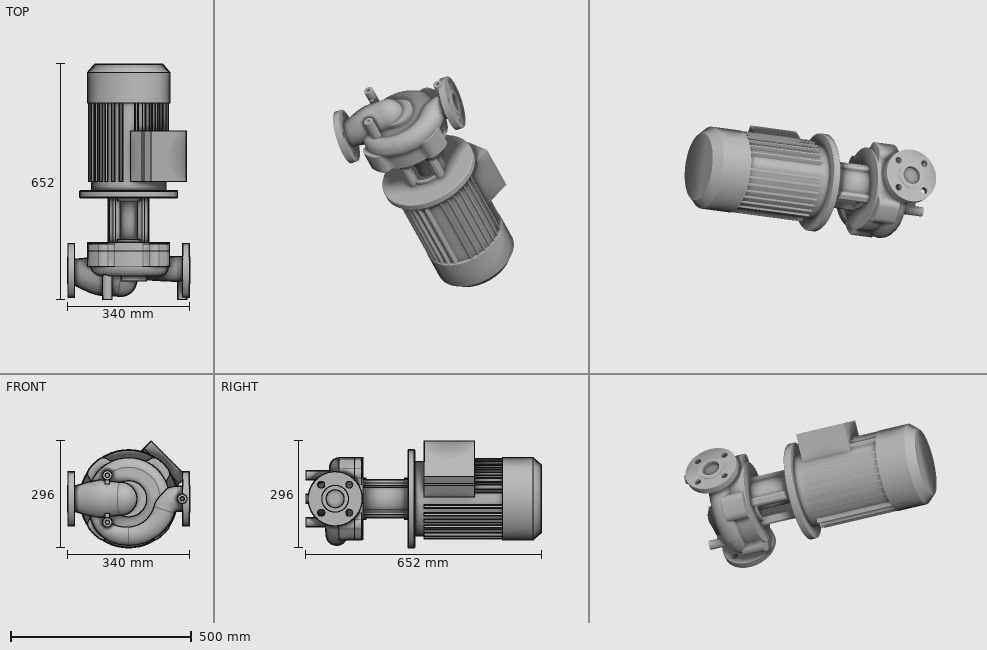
import cadquery as cq
import math


VOLUTE_FLOOR_Y = -15.5
HUB_Y = -29.5
BOSS_END_Y = -81.0
LOBE_START_Y = 11.0
COVER_START_Y = 53.0
LOBE_END_Y = 72.5
LANTERN_START_Y = 77.0
MOTOR_FLANGE_Y = 201.0
MOTOR_BODY_Y = 220.5
FIN_START_Y = 246.0
FAN_COVER_Y = 463.0
FAN_COVER_BEVEL_Y = 547.5
MOTOR_END_Y = 571.03

CASING_RADIUS = 113.6
LOBE_TIP_RADIUS = 137.5
LOBE_WIDTH = 73.0
LOBE_TIP_FILLET = 21.0
LOBE_ROOT_FILLET = 19.0
HUB_RADIUS = 50.0
VOLUTE_ROUND = LOBE_START_Y - VOLUTE_FLOOR_Y

PORT_FACE_X = 170.0
RAISED_FACE_RADIUS = 37.0
RAISED_FACE_HEIGHT = 2.0
PORT_FLANGE_RADIUS = 75.0
PORT_FLANGE_THICKNESS = 18.5
PORT_BORE_RADIUS = 25.0
PORT_BORE_DEPTH = 13.0
BOLT_CIRCLE_RADIUS = 55.0
BOLT_HOLE_RADIUS = 9.5
PORT_FLANGE_BACK_X = PORT_FACE_X - RAISED_FACE_HEIGHT - PORT_FLANGE_THICKNESS

SCROLL_Y = 4.0
SCROLL_RADIUS = 100.0
SCROLL_PIPE_RADIUS = 29.0
SCROLL_TAIL_RADIUS = 24.5
DISCHARGE_RADIUS = 35.0
DISCHARGE_BEND_X = 136.0

SUCTION_START = cq.Vector(-157.0, -2.0, 0)
SUCTION_DOME = cq.Vector(-23.0, -26.5, 0)
SUCTION_START_RADIUS = 33.5
SUCTION_START_FLARE = 0.25
SUCTION_BELLY = 95.0
SUCTION_BELLY_RADIUS = 51.5
SUCTION_DOME_RADIUS = 46.0

BOSS_RADIUS = 13.0
BOSS_HOLE_RADIUS = 6.0
BOSS_HOLE_DEPTH = 20.0
SUCTION_BOSS_X = -59.0
SUCTION_BOSS_Z = 65.0
DISCHARGE_BOSS_X = 148.5
BOSS_RIB_THICKNESS = 12.5
BOSS_RIB_END_Y = -58.0
BOSS_RIB_INNER_Z = 41.0

LANTERN_RADIUS = 57.0
LANTERN_BORE_RADIUS = 47.0
LANTERN_RING = 9.0
LANTERN_RIB_WIDTH = 23.3
LANTERN_RIB_TIP_RADIUS = 68.6
LANTERN_RIB_CHAMFER = 5.3
SHAFT_RADIUS = 24.5

MOTOR_FLANGE_RADIUS = 136.0
MOTOR_FLANGE_CHAMFER = 2.0
MOTOR_CORE_RADIUS = 103.5
FIN_TIP_RADIUS = 113.6
FIN_PITCH = 20.0
FINS_EACH_SIDE = 3
FIN_THICKNESS = 2.5
FAN_COVER_RADIUS = 114.6
FAN_COVER_END_RADIUS = 94.0

BOX_WIDTH = 138.6
BOX_END_Y = 386.0
BOX_BOTTOM = 70.0
GASKET_BOTTOM = 122.0
LID_BOTTOM = 128.5
LID_TOP = 157.0

QUADRANT_ANGLES = (45, 135, 225, 315)
EDGE_TOLERANCE = 0.01
Y_DIRECTION = cq.Vector(0, 1, 0)


def cylinder_y(radius, start, end, x=0.0, z=0.0):
    solid = cq.Solid.makeCylinder(radius, end - start, cq.Vector(x, start, z), Y_DIRECTION)
    return cq.Workplane(obj=solid)


def diagonal_bar(angle, width, inner, outer, start, end, offset=0.0):
    """Bar reaching from one distance to another off the Y axis, turned about that axis."""
    bar = cq.Workplane("XY").box(outer - inner, end - start, width, centered=(False, False, True))
    return bar.translate((inner, start, offset)).rotate((0, 0, 0), (0, 1, 0), -angle)


def lobed_prism(start, end):
    """Round casing section with four rounded bolting lobes on the diagonals."""
    prism = cylinder_y(CASING_RADIUS, start, end)
    tip_envelope = cylinder_y(LOBE_TIP_RADIUS, start, end)
    for angle in QUADRANT_ANGLES[:2]:
        bar = diagonal_bar(angle, LOBE_WIDTH, -LOBE_TIP_RADIUS, LOBE_TIP_RADIUS, start, end)
        prism = prism.union(bar.intersect(tip_envelope).edges("|Y").fillet(LOBE_TIP_FILLET))

    root_edges = []
    for edge in prism.edges("|Y").vals():
        centre = edge.Center()
        off_seam = min(abs(centre.x), abs(centre.z)) > EDGE_TOLERANCE
        if off_seam and abs(math.hypot(centre.x, centre.z) - CASING_RADIUS) < EDGE_TOLERANCE:
            root_edges.append(edge)
    return prism.newObject(root_edges).fillet(LOBE_ROOT_FILLET)


def volute_bowl():
    """Bowl with a rounded rim below the lobes, and the flat hub under it."""
    floor_radius = CASING_RADIUS - VOLUTE_ROUND
    round_mid = VOLUTE_ROUND * math.sqrt(0.5)
    profile = (
        cq.Workplane("XY")
        .moveTo(0, LOBE_START_Y)
        .lineTo(CASING_RADIUS, LOBE_START_Y)
        .threePointArc((floor_radius + round_mid, LOBE_START_Y - round_mid), (floor_radius, VOLUTE_FLOOR_Y))
        .lineTo(0, VOLUTE_FLOOR_Y)
        .close()
    )
    bowl = profile.revolve(360, (0, 0, 0), (0, 1, 0))
    return bowl.union(cylinder_y(HUB_RADIUS, HUB_Y, VOLUTE_FLOOR_Y))


def swept_pipe(path, start_radius, end_radius):
    ends = ((0, start_radius), (1, end_radius))
    rings = [cq.Wire.makeCircle(r, path.positionAt(t), path.tangentAt(t)) for t, r in ends]
    return cq.Workplane(obj=cq.Solid.sweep_multi(rings, path))


def discharge_scroll():
    """Scroll growing out of the bowl rim and bending out to the discharge port."""

    def point(x, z):
        return cq.Vector(x, SCROLL_Y, z)

    rim_radius = CASING_RADIUS - VOLUTE_ROUND
    tail = cq.Edge.makeSpline(
        [point(-rim_radius, 0), point(0, -SCROLL_RADIUS)],
        tangents=[cq.Vector(0, 0, -1), cq.Vector(1, 0, 0)],
    )
    bend_radius = (DISCHARGE_BEND_X**2 - SCROLL_RADIUS**2) / (2 * SCROLL_RADIUS)
    touch_angle = math.atan2(-bend_radius, DISCHARGE_BEND_X)
    scroll_mid = (touch_angle - math.pi / 2) / 2
    bend_mid = (touch_angle + math.pi + math.pi / 2) / 2
    touch = point(SCROLL_RADIUS * math.cos(touch_angle), SCROLL_RADIUS * math.sin(touch_angle))
    scroll_arc = cq.Edge.makeThreePointArc(
        point(0, -SCROLL_RADIUS),
        point(SCROLL_RADIUS * math.cos(scroll_mid), SCROLL_RADIUS * math.sin(scroll_mid)),
        touch,
    )
    bend_arc = cq.Edge.makeThreePointArc(
        touch,
        point(
            DISCHARGE_BEND_X + bend_radius * math.cos(bend_mid),
            -bend_radius + bend_radius * math.sin(bend_mid),
        ),
        point(DISCHARGE_BEND_X, 0),
    )
    outlet = cq.Wire.assembleEdges([scroll_arc, bend_arc])
    stub = cq.Solid.makeCylinder(
        DISCHARGE_RADIUS,
        PORT_FLANGE_BACK_X - DISCHARGE_BEND_X,
        point(DISCHARGE_BEND_X, 0),
        cq.Vector(1, 0, 0),
    )
    scroll = swept_pipe(tail, SCROLL_TAIL_RADIUS, SCROLL_PIPE_RADIUS)
    scroll = scroll.union(swept_pipe(outlet, SCROLL_PIPE_RADIUS, DISCHARGE_RADIUS))
    return scroll.union(cq.Workplane(obj=stub))


def suction_elbow():
    """Bulging pipe turned about a tilted axis, closed by a round dome over the hub."""
    dome_start = (SUCTION_DOME - SUCTION_START).Length
    diagonal_reach = SUCTION_DOME_RADIUS * math.sqrt(0.5)
    profile = (
        cq.Workplane("XY")
        .lineTo(0, SUCTION_START_RADIUS)
        .spline(
            [(SUCTION_BELLY, SUCTION_BELLY_RADIUS), (dome_start, SUCTION_DOME_RADIUS)],
            tangents=[(1, SUCTION_START_FLARE), (1, 0)],
            includeCurrent=True,
        )
        .threePointArc((dome_start + diagonal_reach, diagonal_reach), (dome_start + SUCTION_DOME_RADIUS, 0))
        .close()
    )
    elbow = profile.revolve(360, (0, 0, 0), (1, 0, 0))
    axis = SUCTION_DOME - SUCTION_START
    tilt = math.degrees(math.atan2(axis.y, axis.x))
    return elbow.rotate((0, 0, 0), (0, 0, 1), tilt).translate(SUCTION_START)


def port_flange(side):
    """Drilled flange with a raised face, on the -X side (-1) or the +X side (+1)."""
    bolt_pitch = BOLT_CIRCLE_RADIUS * math.sqrt(2)
    flange = (
        cq.Workplane("YZ", origin=(PORT_FLANGE_BACK_X, 0, 0))
        .circle(PORT_FLANGE_RADIUS)
        .extrude(PORT_FLANGE_THICKNESS)
        .faces(">X")
        .workplane()
        .circle(RAISED_FACE_RADIUS)
        .extrude(RAISED_FACE_HEIGHT)
    )
    holes = (
        cq.Workplane("YZ", origin=(PORT_FLANGE_BACK_X, 0, 0))
        .rect(bolt_pitch, bolt_pitch, forConstruction=True)
        .vertices()
        .circle(BOLT_HOLE_RADIUS)
        .extrude(PORT_FLANGE_THICKNESS)
    )
    flange = flange.cut(holes)
    if side < 0:
        flange = flange.mirror("YZ")
    return flange


def port_bore(side):
    bore = cq.Workplane("YZ", origin=(side * PORT_FACE_X, 0, 0)).circle(PORT_BORE_RADIUS)
    return bore.extrude(-side * PORT_BORE_DEPTH)


def gauge_bosses():
    """Two bosses ribbed to the suction elbow and one on the discharge pipe."""
    bosses = cylinder_y(BOSS_RADIUS, BOSS_END_Y, SCROLL_Y, DISCHARGE_BOSS_X)
    for side in (-1, 1):
        z = side * SUCTION_BOSS_Z
        bosses = bosses.add(cylinder_y(BOSS_RADIUS, BOSS_END_Y, LOBE_START_Y, SUCTION_BOSS_X, z))
        rib = cq.Workplane("XY").box(
            BOSS_RIB_THICKNESS,
            VOLUTE_FLOOR_Y - BOSS_RIB_END_Y,
            SUCTION_BOSS_Z - BOSS_RIB_INNER_Z,
        )
        rib_y = (VOLUTE_FLOOR_Y + BOSS_RIB_END_Y) / 2
        rib_z = side * (SUCTION_BOSS_Z + BOSS_RIB_INNER_Z) / 2
        bosses = bosses.add(rib.translate((SUCTION_BOSS_X, rib_y, rib_z)))
    return bosses.combine()


def casing():
    body = lobed_prism(LOBE_START_Y, COVER_START_Y)
    body = body.union(volute_bowl()).union(discharge_scroll()).union(suction_elbow())
    body = body.union(gauge_bosses())
    for side in (-1, 1):
        body = body.union(port_flange(side)).cut(port_bore(side))
    boss_places = (
        (SUCTION_BOSS_X, SUCTION_BOSS_Z),
        (SUCTION_BOSS_X, -SUCTION_BOSS_Z),
        (DISCHARGE_BOSS_X, 0),
    )
    for x, z in boss_places:
        body = body.cut(cylinder_y(BOSS_HOLE_RADIUS, BOSS_END_Y, BOSS_END_Y + BOSS_HOLE_DEPTH, x, z))
    return body


def cover():
    """Lobed plate that closes the casing, with a round rim behind it."""
    rim = cylinder_y(CASING_RADIUS, LOBE_END_Y, LANTERN_START_Y)
    return lobed_prism(COVER_START_Y, LOBE_END_Y).union(rim)


def lantern():
    """Tube with four chamfered ribs, open above and below between its end rings.

    The window walls lie in the planes of the rib flanks, which meet at the window apex.
    """
    tube = cylinder_y(LANTERN_RADIUS, LANTERN_START_Y, MOTOR_FLANGE_Y)
    window_start = LANTERN_START_Y + LANTERN_RING
    window_end = MOTOR_FLANGE_Y - LANTERN_RING
    window_apex = LANTERN_RIB_WIDTH / math.sqrt(2)
    reach = LANTERN_RADIUS * 2
    for angle in QUADRANT_ANGLES:
        rib = cq.Workplane("XY").box(
            LANTERN_RIB_TIP_RADIUS,
            MOTOR_FLANGE_Y - LANTERN_START_Y,
            LANTERN_RIB_WIDTH,
            centered=(False, False, True),
        )
        rib = rib.faces(">X").edges("|Y").chamfer(LANTERN_RIB_CHAMFER)
        rib = rib.translate((0, LANTERN_START_Y, 0))
        tube = tube.union(rib.rotate((0, 0, 0), (0, 1, 0), -angle))
    for side in (-1, 1):
        window = (
            cq.Workplane("XZ", origin=(0, window_end, 0))
            .moveTo(0, side * window_apex)
            .lineTo(reach, side * (window_apex + reach))
            .lineTo(-reach, side * (window_apex + reach))
            .close()
            .extrude(window_end - window_start)
        )
        tube = tube.cut(window)
    return tube.cut(cylinder_y(LANTERN_BORE_RADIUS, LANTERN_START_Y, MOTOR_FLANGE_Y))


def shaft():
    return cylinder_y(SHAFT_RADIUS, LANTERN_START_Y, MOTOR_FLANGE_Y)


def motor_flange():
    disc = cylinder_y(MOTOR_FLANGE_RADIUS, MOTOR_FLANGE_Y, MOTOR_BODY_Y)
    return disc.edges().chamfer(MOTOR_FLANGE_CHAMFER)


def box_layer(bottom, top):
    return diagonal_bar(QUADRANT_ANGLES[0], BOX_WIDTH, bottom, top, FIN_START_Y, BOX_END_Y)


def terminal_box():
    return box_layer(BOX_BOTTOM, GASKET_BOTTOM).cut(
        cylinder_y(MOTOR_CORE_RADIUS, MOTOR_BODY_Y, FAN_COVER_Y)
    )


def motor_body():
    """Round core with fins that run parallel to the diagonal in each quadrant."""
    body = cylinder_y(MOTOR_CORE_RADIUS, MOTOR_BODY_Y, FAN_COVER_Y)
    fin_envelope = cylinder_y(FIN_TIP_RADIUS, FIN_START_Y, FAN_COVER_Y)
    for angle in QUADRANT_ANGLES:
        for step in range(-FINS_EACH_SIDE, FINS_EACH_SIDE + 1):
            fin = diagonal_bar(
                angle,
                FIN_THICKNESS,
                FIN_PITCH,
                FAN_COVER_RADIUS,
                FIN_START_Y,
                FAN_COVER_Y,
                step * FIN_PITCH,
            )
            body = body.union(fin.intersect(fin_envelope))
    return body.cut(terminal_box())


def fan_cover():
    profile = cq.Workplane("XY").polyline(
        [
            (0, FAN_COVER_Y),
            (FAN_COVER_RADIUS, FAN_COVER_Y),
            (FAN_COVER_RADIUS, FAN_COVER_BEVEL_Y),
            (FAN_COVER_END_RADIUS, MOTOR_END_Y),
            (0, MOTOR_END_Y),
        ]
    )
    return profile.close().revolve(360, (0, 0, 0), (0, 1, 0))


bodies = [
    casing(),
    cover(),
    lantern(),
    shaft(),
    motor_flange(),
    motor_body(),
    fan_cover(),
    terminal_box(),
    box_layer(GASKET_BOTTOM, LID_BOTTOM),
    box_layer(LID_BOTTOM, LID_TOP),
]
result = cq.Compound.makeCompound([body.val() for body in bodies])